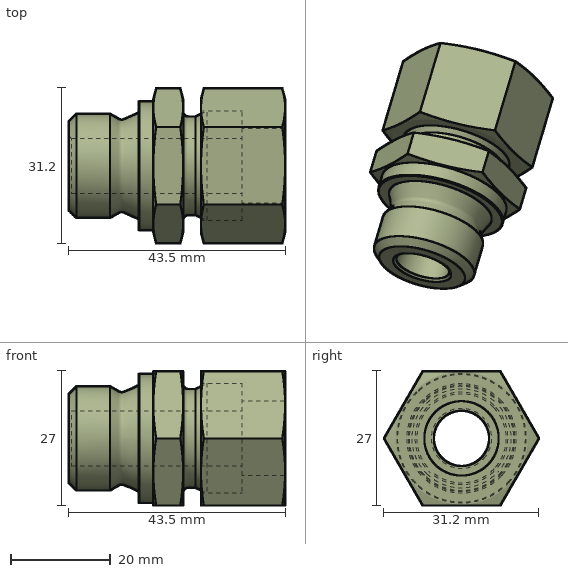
import cadquery as cq
import math


stud_straight_end = 8.3
collar_start = 14.0
collar_end = 16.95
hex_end = 23.0
neck_end = 25.5
nut_start = 26.55
stub_end = 34.8
nut_end = 43.5

bore_radius = 5.52
stud_radius = 10.5
collar_radius = 13.0
neck_radius = 9.95
stub_radius = 11.0
tube_hole_radius = 7.5

stud_chamfer = 1.52
bore_chamfer = 0.52
collar_chamfer = 0.17
neck_fillet = 0.9
stub_lead_angle = math.radians(25)

undercut_radius = 9.3
undercut_blend = 1.1
undercut_front_angle = math.radians(30)
undercut_back_angle = math.radians(24)

across_flats = 27.0
hex_face_radius = 13.35
hex_chamfer_angle = math.radians(15)
across_corners = across_flats / math.cos(math.pi / 6)


def cylinder(start, end, radius):
    """Cylinder on the X axis between two axial positions."""
    return cq.Workplane("YZ").workplane(offset=start).circle(radius).extrude(end - start)


def chamfered_hexagon(start, end):
    """Hexagonal prism with two flats facing +Z and -Z, its corners turned to a shallow cone at both ends."""
    prism = cq.Workplane("YZ").workplane(offset=start).polygon(6, across_corners).extrude(end - start)
    corner_radius = across_corners / 2
    chamfer_length = (corner_radius - hex_face_radius) * math.tan(hex_chamfer_angle)
    envelope = (
        cq.Workplane("XY")
        .moveTo(start, 0)
        .lineTo(start, hex_face_radius)
        .lineTo(start + chamfer_length, corner_radius)
        .lineTo(end - chamfer_length, corner_radius)
        .lineTo(end, hex_face_radius)
        .lineTo(end, 0)
        .close()
        .revolve(360, (0, 0, 0), (1, 0, 0))
    )
    return prism.intersect(envelope)


def undercut_point(root_x, angle):
    """Point on the undercut's root arc where its wall leans by the given signed angle."""
    x = root_x + undercut_blend * math.sin(angle)
    radius = undercut_radius + undercut_blend * (1 - math.cos(angle))
    return x, radius


def make_turned_body():
    """Solid of revolution for the stud, undercut, collar, neck and stub."""
    _, front_radius = undercut_point(0, -undercut_front_angle)
    front_length = (stud_radius - front_radius) / math.tan(undercut_front_angle)
    root_x = stud_straight_end + front_length + undercut_blend * math.sin(undercut_front_angle)
    arc_start = undercut_point(root_x, -undercut_front_angle)
    arc_end = undercut_point(root_x, undercut_back_angle)

    back_radius = arc_end[1] + (collar_start - arc_end[0]) * math.tan(undercut_back_angle)

    stub_lead = (stub_radius - neck_radius) / math.tan(stub_lead_angle)
    return (
        cq.Workplane("XY")
        .moveTo(0, 0)
        .lineTo(0, stud_radius - stud_chamfer)
        .lineTo(stud_chamfer, stud_radius)
        .lineTo(stud_straight_end, stud_radius)
        .lineTo(*arc_start)
        .threePointArc((root_x, undercut_radius), arc_end)
        .lineTo(collar_start, back_radius)
        .lineTo(collar_start, collar_radius - collar_chamfer)
        .lineTo(collar_start + collar_chamfer, collar_radius)
        .lineTo(hex_end, collar_radius)
        .lineTo(hex_end, neck_radius + neck_fillet)
        .radiusArc((hex_end + neck_fillet, neck_radius), -neck_fillet)
        .lineTo(neck_end, neck_radius)
        .lineTo(neck_end + stub_lead, stub_radius)
        .lineTo(stub_end, stub_radius)
        .lineTo(stub_end, 0)
        .close()
        .revolve(360, (0, 0, 0), (1, 0, 0))
    )


def make_body():
    """Stud body: turned profile, wrench hexagon and a chamfered through bore."""
    bore = cylinder(0, stub_end, bore_radius)
    body = make_turned_body().union(chamfered_hexagon(collar_end, hex_end)).cut(bore)
    bore_rim = body.faces("<X").edges(cq.selectors.RadiusNthSelector(0))
    return bore_rim.chamfer(bore_chamfer)


def make_nut():
    """Union nut: a socket that receives the stub, then a tube hole out through the end wall."""
    socket = cylinder(nut_start, stub_end, stub_radius)
    tube_hole = cylinder(stub_end, nut_end, tube_hole_radius)
    return chamfered_hexagon(nut_start, nut_end).cut(socket).cut(tube_hole)


body = make_body()
nut = make_nut()

result = cq.Compound.makeCompound([body.val(), nut.val()])